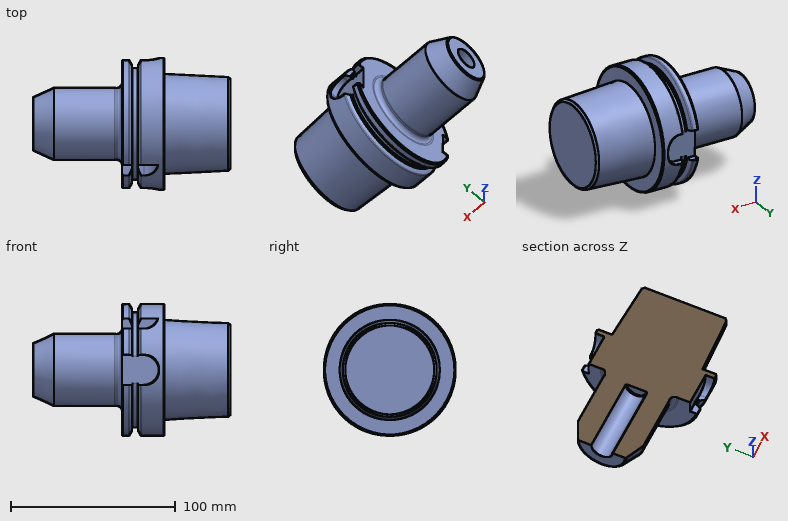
import cadquery as cq
import math


projection = 80.0
flange_width = 26.0
taper_length = 40.0
nose_length = 13.0
nose_front = -projection
flange_front = -flange_width

nose_radius = 16.3
nose_bevel_length = 0.5
nose_face_radius = 15.5
shank_radius = 22.0

undercut_depth = 0.1
undercut_radius = shank_radius - undercut_depth
undercut_ramp = 0.4
undercut_start = flange_front - 4.45
undercut_fillet = 3.1
undercut_face_radius = 26.1

bore_radius = 7.0
bore_depth = 50.0
bore_floor_bevel = 0.5

flange_radius = 40.0
flange_chamfer = 0.8
groove_centre = flange_front + 8.0
groove_half_width = 1.75
groove_floor_radius = 35.0
groove_floor_fillet = 0.3
groove_wall_radius = 36.8
groove_flank_angle = 30.0
groove_lip_radius = 0.8

taper_radius = 30.4
taper_slope = 0.05
taper_end_bevel = 1.5

slot_floor = 34.0
slot_length = 22.4
slot_corner_radius = 9.0
plain_slot_width = 18.0
wide_slot_width = 20.0
slot_mouth_bevel = 0.25
notch_offset = 25.0

margin = 0.1


def turn(profile):
    return profile.close().revolve(360, (0, 0, 0), (1, 0, 0))


def make_nose_and_shank():
    face = flange_front + undercut_depth
    fillet_start = face - undercut_fillet
    fillet_mid = undercut_fillet * (1 - math.sqrt(0.5))
    return turn(
        cq.Workplane("XY")
        .moveTo(nose_front, 0)
        .lineTo(nose_front, nose_face_radius)
        .lineTo(nose_front + nose_bevel_length, nose_radius)
        .lineTo(nose_front + nose_length, shank_radius)
        .lineTo(undercut_start, shank_radius)
        .lineTo(undercut_start + undercut_ramp, undercut_radius)
        .lineTo(fillet_start, undercut_radius)
        .threePointArc(
            (face - fillet_mid, undercut_radius + fillet_mid),
            (face, undercut_radius + undercut_fillet),
        )
        .lineTo(face, 0)
    )


def make_face_undercut():
    face = flange_front + undercut_depth
    return turn(
        cq.Workplane("XY")
        .moveTo(flange_front, undercut_radius)
        .lineTo(flange_front, undercut_face_radius)
        .lineTo(face, undercut_radius + undercut_fillet)
        .lineTo(face, undercut_radius)
    )


def make_slot(width, side):
    arc_centre_x = slot_length - slot_corner_radius
    arc_centre_z = width / 2 - slot_corner_radius
    depth = flange_radius - slot_floor
    slot = cq.Workplane("XZ").rect(2 * arc_centre_x, width).extrude(-depth)
    for z in (-arc_centre_z, arc_centre_z):
        corner = cq.Workplane("XZ").center(arc_centre_x, z).circle(slot_corner_radius).extrude(-depth)
        slot = slot.union(corner)
    if arc_centre_z > 0:
        end = cq.Workplane("XZ").rect(2 * slot_length, 2 * arc_centre_z).extrude(-depth)
        slot = slot.union(end)
    return slot.translate((flange_front, slot_floor if side > 0 else -flange_radius, 0))


def make_notch():
    depth = flange_radius - notch_offset
    return (
        cq.Workplane("XY")
        .box(slot_length, depth, depth, centered=False)
        .edges(">X and <Z")
        .fillet(slot_corner_radius)
        .translate((flange_front, -flange_radius, notch_offset))
    )


def make_blank():
    return cq.Workplane("YZ", origin=(flange_front, 0, 0)).circle(flange_radius).extrude(flange_width)


def make_slotted_blank():
    """Plain disc with both drive slots, whose rims on the outer cylinder are bevelled."""
    blank = make_blank()
    for width, side in ((plain_slot_width, -1), (wide_slot_width, 1)):
        half_width = width / 2
        rim_reach = math.sqrt(flange_radius**2 - half_width**2)
        rim = cq.selectors.BoxSelector(
            (flange_front - margin, side * (rim_reach - margin), -half_width - margin),
            (-margin, side * (flange_radius + margin), half_width + margin),
            boundingbox=True,
        )
        blank = blank.cut(make_slot(width, side)).edges(rim).chamfer(slot_mouth_bevel)
    return blank


def make_groove():
    flank_run = (flange_radius - groove_wall_radius) * math.tan(math.radians(groove_flank_angle))
    mouth_half_width = groove_half_width + flank_run
    return turn(
        cq.Workplane("XY")
        .moveTo(groove_centre - groove_half_width, groove_floor_radius)
        .lineTo(groove_centre - groove_half_width, groove_wall_radius)
        .lineTo(groove_centre - mouth_half_width, flange_radius)
        .lineTo(groove_centre + mouth_half_width, flange_radius)
        .lineTo(groove_centre + groove_half_width, groove_wall_radius)
        .lineTo(groove_centre + groove_half_width, groove_floor_radius)
    )


def make_flange():
    smallest_circles = cq.selectors.RadiusNthSelector(0)
    largest_circles = cq.selectors.RadiusNthSelector(-1)
    turned = make_blank().faces("<X or >X").edges().chamfer(flange_chamfer).cut(make_groove())
    lips = cq.selectors.BoxSelector(
        (flange_front + 2 * flange_chamfer, -2 * flange_radius, -2 * flange_radius),
        (-2 * flange_chamfer, 2 * flange_radius, 2 * flange_radius),
        boundingbox=True,
    )
    turned = turned.edges(lips).edges(largest_circles).fillet(groove_lip_radius)
    turned = turned.edges(lips).edges(smallest_circles).fillet(groove_floor_fillet)
    return turned.intersect(make_slotted_blank()).cut(make_face_undercut()).cut(make_notch())


def make_taper():
    bevel_start = taper_length - taper_end_bevel
    bevel_radius = taper_radius - taper_slope * bevel_start
    return turn(
        cq.Workplane("XY")
        .lineTo(0, taper_radius)
        .lineTo(bevel_start, bevel_radius)
        .lineTo(taper_length, bevel_radius - taper_end_bevel)
        .lineTo(taper_length, 0)
    )


def make_bore():
    floor = nose_front + bore_depth
    return turn(
        cq.Workplane("XY")
        .moveTo(nose_front, 0)
        .lineTo(nose_front, bore_radius)
        .lineTo(floor - bore_floor_bevel, bore_radius)
        .lineTo(floor, bore_radius - bore_floor_bevel)
        .lineTo(floor, 0)
    )


result = make_nose_and_shank().union(make_flange()).union(make_taper()).cut(make_bore())